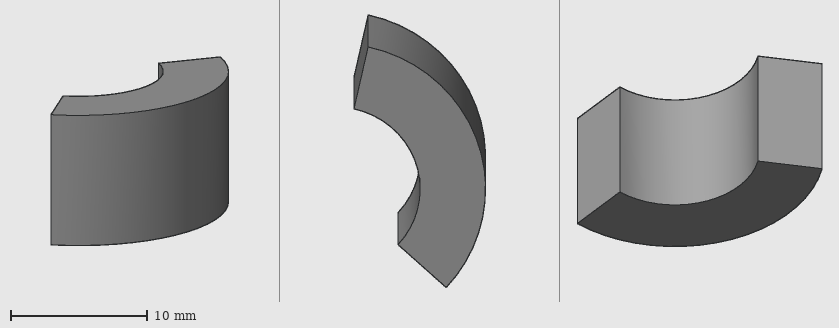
import cadquery as cq
import math

OUTER_RADIUS = 11.0
INNER_RADIUS = 6.2
HEIGHT = 10.0
SECTOR_ANGLE = 120.0


def polar_point(radius, angle_degrees):
    """Point at a given radius and angle about the ring axis."""
    angle = math.radians(angle_degrees)
    return (radius * math.cos(angle), radius * math.sin(angle))


def ring_sector():
    """Sector of a ring with radial end faces, extruded along Z."""
    half_angle = SECTOR_ANGLE / 2
    return (
        cq.Workplane("XY")
        .moveTo(*polar_point(INNER_RADIUS, -half_angle))
        .lineTo(*polar_point(OUTER_RADIUS, -half_angle))
        .threePointArc(polar_point(OUTER_RADIUS, 0), polar_point(OUTER_RADIUS, half_angle))
        .lineTo(*polar_point(INNER_RADIUS, half_angle))
        .threePointArc(polar_point(INNER_RADIUS, 0), polar_point(INNER_RADIUS, -half_angle))
        .close()
        .extrude(HEIGHT)
    )


result = ring_sector()